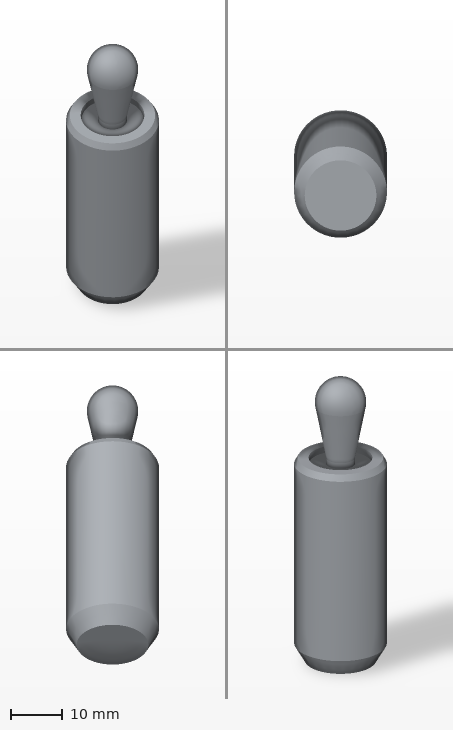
import cadquery as cq
import math

total_height = 59.5
housing_diameter = 18.0
housing_radius = housing_diameter / 2
housing_height = 42.7
bevel_angle = math.radians(30)
top_bevel_height = 1.25
bottom_bevel_height = 3.55

recess_mouth_radius = 6.2
recess_floor_radius = 6.05
recess_depth = 1.25

ball_radius = 5.0
neck_radius = 2.8

recess_floor_z = housing_height - recess_depth
ball_center_z = total_height - ball_radius


def make_housing():
    """Sleeve with beveled ends and a blind tapered recess in its top face."""
    top_radius = housing_radius - top_bevel_height * math.tan(bevel_angle)
    bottom_radius = housing_radius - bottom_bevel_height * math.tan(bevel_angle)
    return (
        cq.Workplane("XZ")
        .moveTo(0, 0)
        .lineTo(bottom_radius, 0)
        .lineTo(housing_radius, bottom_bevel_height)
        .lineTo(housing_radius, housing_height - top_bevel_height)
        .lineTo(top_radius, housing_height)
        .lineTo(recess_mouth_radius, housing_height)
        .lineTo(recess_floor_radius, recess_floor_z)
        .lineTo(0, recess_floor_z)
        .close()
        .revolve(360, (0, 0, 0), (0, 1, 0))
    )


def make_pin():
    """Straight neck, then a cone that runs tangent into the ball."""
    drop = ball_center_z - housing_height
    edge_distance = math.hypot(neck_radius, drop)
    taper_angle = math.asin(ball_radius / edge_distance) - math.atan2(neck_radius, drop)
    tangent_radius = ball_radius * math.cos(taper_angle)
    tangent_z = ball_center_z - ball_radius * math.sin(taper_angle)
    return (
        cq.Workplane("XZ")
        .moveTo(0, recess_floor_z)
        .lineTo(neck_radius, recess_floor_z)
        .lineTo(neck_radius, housing_height)
        .lineTo(tangent_radius, tangent_z)
        .threePointArc((ball_radius, ball_center_z), (0, total_height))
        .close()
        .revolve(360, (0, 0, 0), (0, 1, 0))
    )


housing = make_housing()
pin = make_pin()

result = cq.Compound.makeCompound([housing.val(), pin.val()])